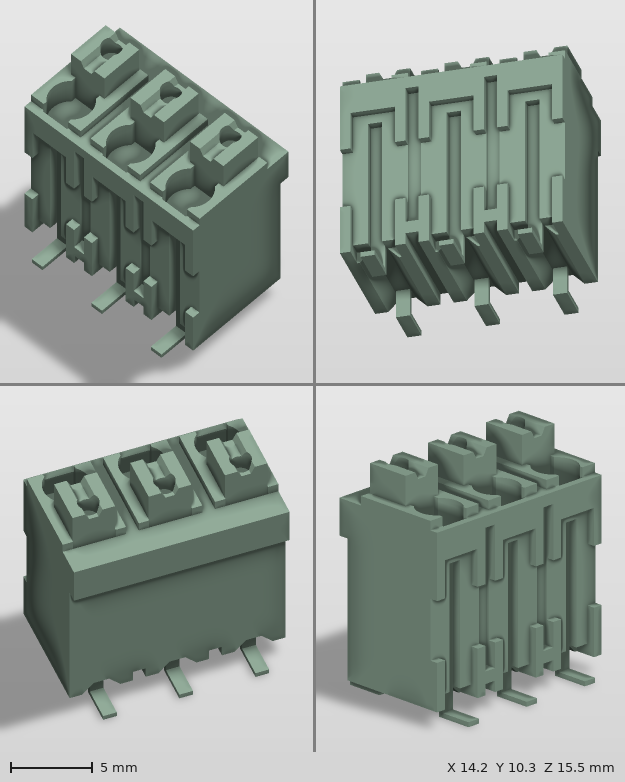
import cadquery as cq


POLE_COUNT = 3
POLE_PITCH = 5.0
POLE_WIDTH = 4.16
WALL_GAP = POLE_PITCH - POLE_WIDTH
POLE_CENTERS = [(i - (POLE_COUNT - 1) / 2) * POLE_PITCH for i in range(POLE_COUNT)]
WALL_CENTERS = [x + POLE_PITCH / 2 for x in POLE_CENTERS[:-1]]

HOUSING_WIDTH = (POLE_COUNT - 1) * POLE_PITCH + POLE_WIDTH
FRONT_Y = -4.07
BACK_Y = 3.7
OVERHANG_Y = 4.42
HOUSING_BOTTOM = 1.11
OVERHANG_BOTTOM = 10.37
SHELF_Z = 12.85

PAD_TOP = 13.47
PAD_FRONT_Y = -3.48
PAD_BACK_Y = 2.54

RELIEF_DEPTH = 0.55
RELIEF_Y = FRONT_Y + RELIEF_DEPTH
BAND_BOTTOM = 4.35
BAND_TOP = 8.38
PANEL_WIDTH = 2.83
PANEL_TOP = 10.87

GROOVE_DEPTH = 0.74
GROOVE_BOTTOM = 2.67
GROOVE_TOP = 12.06

NOTCH_TOP = 1.85
FUNNEL_TOP_WIDTH = 1.02
FUNNEL_BOTTOM_WIDTH = 2.5

LEAD_WIDTH = 0.9
LEAD_THICKNESS = 0.32
LEAD_INNER_Y = 2.58
LEAD_OUTER_Y = LEAD_INNER_Y + LEAD_THICKNESS
LEAD_TIP_Y = 5.15
LEAD_TOP = 2.74
LEAD_SLOT_TOP = 10.25

BUTTON_WIDTH = 2.8
BUTTON_FRONT_Y = -0.65
BUTTON_BACK_Y = 2.45
BUTTON_TOP = 15.46
BUTTON_NOTCH_DEPTH = 0.5
BUTTON_NOTCH_TOP_WIDTH = 1.15
BUTTON_NOTCH_BOTTOM_WIDTH = 0.62
TOOL_HOLE_DIAMETER = 1.39
TOOL_HOLE_Y = 1.48
TOOL_HOLE_DEPTH = 1.5

ENTRY_FLOOR = 11.47
ENTRY_DIAMETER = 3.03
ENTRY_Y = -2.12
ENTRY_NECK_WIDTH = 2.04
ENTRY_FRONT_Y = -3.57


def block(x_center, width, y_min, y_max, z_min, z_max):
    """Axis-aligned block, centred on x_center."""
    return (
        cq.Workplane("XY")
        .box(width, y_max - y_min, z_max - z_min, centered=(True, False, False))
        .translate((x_center, y_min, z_min))
    )


def trapezoid_prism(x_center, z_low, z_high, low_width, high_width, y_min, y_max):
    """Symmetric trapezoid in XZ, extruded from y_min to y_max."""
    return (
        cq.Workplane("XZ", origin=(x_center, y_min, 0))
        .polyline([
            (-low_width / 2, z_low),
            (low_width / 2, z_low),
            (high_width / 2, z_high),
            (-high_width / 2, z_high),
        ])
        .close()
        .extrude(y_min - y_max)
    )


def upright_cylinder(x, y, diameter, z_min, z_max):
    return cq.Workplane("XY", origin=(x, y, z_min)).circle(diameter / 2).extrude(z_max - z_min)


def make_lead(x, side):
    """L-shaped lead; side is -1 for the front row and 1 for the back row."""
    return (
        cq.Workplane("YZ", origin=(x - LEAD_WIDTH / 2, 0, 0))
        .polyline([
            (side * LEAD_INNER_Y, 0),
            (side * LEAD_TIP_Y, 0),
            (side * LEAD_TIP_Y, LEAD_THICKNESS),
            (side * LEAD_OUTER_Y, LEAD_THICKNESS),
            (side * LEAD_OUTER_Y, LEAD_TOP),
            (side * LEAD_INNER_Y, LEAD_TOP),
        ])
        .close()
        .extrude(LEAD_WIDTH)
    )


def make_button(x):
    """Push button with a V-shaped notch along its top and a round tool hole."""
    button = block(x, BUTTON_WIDTH, BUTTON_FRONT_Y, BUTTON_BACK_Y, ENTRY_FLOOR, BUTTON_TOP)
    notch = trapezoid_prism(
        x, BUTTON_TOP - BUTTON_NOTCH_DEPTH, BUTTON_TOP,
        BUTTON_NOTCH_BOTTOM_WIDTH, BUTTON_NOTCH_TOP_WIDTH,
        BUTTON_FRONT_Y, BUTTON_BACK_Y,
    )
    tool_hole = upright_cylinder(
        x, TOOL_HOLE_Y, TOOL_HOLE_DIAMETER, BUTTON_TOP - TOOL_HOLE_DEPTH, BUTTON_TOP
    )
    return button.cut(notch).cut(tool_hole)


def cut_wall_grooves(housing):
    """Front groove and underside notch at each wall between two poles."""
    for x in WALL_CENTERS:
        housing = housing.cut(
            block(x, WALL_GAP, FRONT_Y, FRONT_Y + GROOVE_DEPTH, GROOVE_BOTTOM, GROOVE_TOP)
        )
        housing = housing.cut(block(x, WALL_GAP, FRONT_Y, BACK_Y, HOUSING_BOTTOM, NOTCH_TOP))
    return housing


def cut_pole_front(housing, x):
    """Relief panel and lead slot in the front of one pole."""
    panel = block(x, PANEL_WIDTH, FRONT_Y, RELIEF_Y, HOUSING_BOTTOM, PANEL_TOP)
    lead_slot = block(x, LEAD_WIDTH, RELIEF_Y, -LEAD_OUTER_Y, HOUSING_BOTTOM, LEAD_SLOT_TOP)
    return housing.cut(panel).cut(lead_slot)


def cut_pole_underside(housing, x):
    """Square notch around the front lead, opening into a funnel that runs to the back."""
    notch = block(x, PANEL_WIDTH, RELIEF_Y, -LEAD_INNER_Y, HOUSING_BOTTOM, NOTCH_TOP)
    funnel = trapezoid_prism(
        x, HOUSING_BOTTOM, NOTCH_TOP, FUNNEL_BOTTOM_WIDTH, FUNNEL_TOP_WIDTH,
        -LEAD_INNER_Y, BACK_Y,
    )
    return housing.cut(notch).cut(funnel)


def cut_pole_top(housing, x):
    """Button slot and, on the same floor, a round wire entry with a flat front and a straight neck."""
    button_slot = block(x, BUTTON_WIDTH, BUTTON_FRONT_Y, PAD_BACK_Y, ENTRY_FLOOR, PAD_TOP)
    neck = block(x, ENTRY_NECK_WIDTH, ENTRY_FRONT_Y, BUTTON_FRONT_Y, ENTRY_FLOOR, PAD_TOP)
    entry_limits = block(x, ENTRY_DIAMETER, ENTRY_FRONT_Y, BUTTON_FRONT_Y, ENTRY_FLOOR, PAD_TOP)
    entry = upright_cylinder(x, ENTRY_Y, ENTRY_DIAMETER, ENTRY_FLOOR, PAD_TOP).intersect(entry_limits)
    return housing.cut(button_slot).cut(neck).cut(entry)


def make_housing(leads):
    housing = block(0, HOUSING_WIDTH, FRONT_Y, BACK_Y, HOUSING_BOTTOM, SHELF_Z)
    housing = housing.union(
        block(0, HOUSING_WIDTH, BACK_Y, OVERHANG_Y, OVERHANG_BOTTOM, SHELF_Z)
    )
    for x in POLE_CENTERS:
        housing = housing.union(block(x, POLE_WIDTH, PAD_FRONT_Y, PAD_BACK_Y, SHELF_Z, PAD_TOP))

    housing = housing.cut(block(0, HOUSING_WIDTH, FRONT_Y, RELIEF_Y, BAND_BOTTOM, BAND_TOP))
    housing = cut_wall_grooves(housing)
    for x in POLE_CENTERS:
        housing = cut_pole_front(housing, x)
        housing = cut_pole_underside(housing, x)
        housing = cut_pole_top(housing, x)

    for lead in leads:
        housing = housing.cut(lead)
    return housing


leads = [make_lead(x, side) for x in POLE_CENTERS for side in (-1, 1)]
buttons = [make_button(x) for x in POLE_CENTERS]
housing = make_housing(leads)

result = cq.Compound.makeCompound([
    housing.solids().val(),
    *[button.val() for button in buttons],
    *[lead.val() for lead in leads],
])